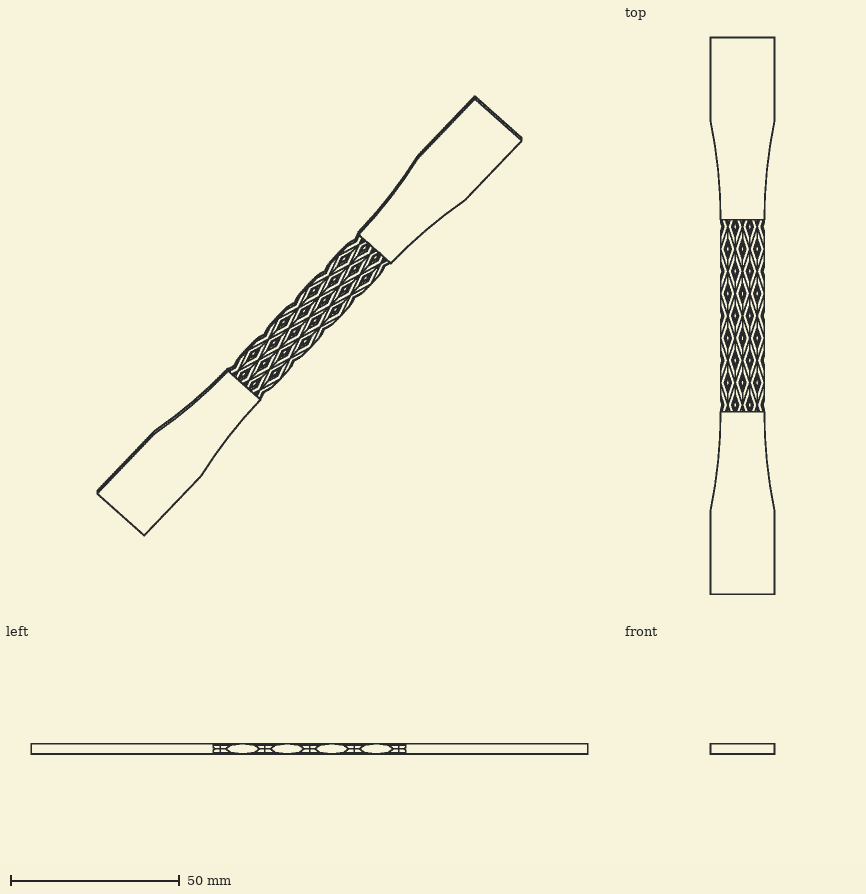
import cadquery as cq
import math

total_length = 165.0
thickness = 3.1
grip_width = 19.0
grip_length = 24.9
gauge_width = 13.0
gauge_length = 57.0

shoulder_facets = 4
gauge_end = gauge_length / 2
shoulder_end = total_length / 2 - grip_length
shoulder_length = shoulder_end - gauge_end
shoulder_depth = (grip_width - gauge_width) / 2
shoulder_radius = (shoulder_length**2 + shoulder_depth**2) / (2 * shoulder_depth)
shoulder_angle = math.asin(shoulder_length / shoulder_radius)

cells_across = 3
cell_width = gauge_width / cells_across
cell_length = 13.2
rod_sides = 8
rod_diameter = thickness
lean = math.atan2(cell_width, cell_length)


def solid_end():
    """Grip, shoulder and gauge start of the +Y end."""
    side = []
    for i in range(shoulder_facets + 1):
        angle = shoulder_angle * i / shoulder_facets
        half_width = gauge_width / 2 + shoulder_radius * (1 - math.cos(angle))
        side.append((half_width, gauge_end + shoulder_radius * math.sin(angle)))
    side.append((grip_width / 2, total_length / 2))
    mirrored = [(-x, y) for x, y in reversed(side)]
    return (
        cq.Workplane("XY", origin=(0, 0, -thickness / 2))
        .polyline(side + mirrored)
        .close()
        .extrude(thickness)
    )


def rod(x_middle, direction):
    """Rod through (x_middle, 0) leaning toward +X (direction 1) or -X (direction -1)."""
    axis = cq.Vector(direction * math.sin(lean), math.cos(lean), 0)
    half_length = (gauge_end + cell_length) / math.cos(lean)
    start = cq.Vector(x_middle, 0, 0) - axis * half_length
    section = cq.Plane(origin=start.toTuple(), xDir=(0, 0, 1), normal=axis.toTuple())
    return cq.Workplane(section).polygon(rod_sides, rod_diameter).extrude(2 * half_length)


def lattice():
    """Both families of rods, trimmed to the gauge."""
    reach = (gauge_width + gauge_length * math.tan(lean)) / 2 + rod_diameter
    last = math.ceil(reach / cell_width)
    rods = [
        rod(i * cell_width, direction).val()
        for i in range(-last, last + 1)
        for direction in (1, -1)
    ]
    gauge = cq.Workplane("XY").box(gauge_width, gauge_length, thickness)
    trimmed = [gauge.val().intersect(one_rod) for one_rod in rods]
    pieces = [solid for piece in trimmed for solid in piece.Solids()]
    return cq.Workplane(pieces[0].fuse(*pieces[1:]))


upper_end = solid_end()
lower_end = upper_end.mirror("XZ")
result = upper_end.union(lattice()).union(lower_end)